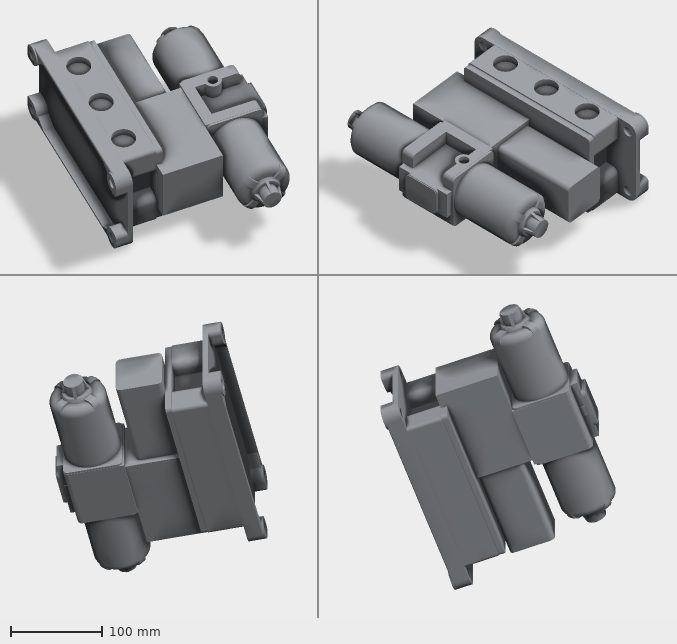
import cadquery as cq
import math


overall_length = 282.5

plate_length = 237.0
plate_height = 111.0
plate_back = 20.3
plate_web_front = 14.0
foot_radius = 12.5
foot_hole_diameter = 12.1
foot_corner_radius = 4.8
rim_front = 1.7
rim_width = 3.7
rim_chamfer = 0.8
rim_flare_end = 39.5

stack_left = 26.3
stack_length = 184.2
manifold_height = 110.5
manifold_inset = 0.3
manifold_back = 60.5
manifold_corner_radius = 3.7
port_diameter = 27.5
port_depth = 9.3
port_pitch = 60.0
port_y = 35.3
notch_depth = 17.0
notch_half_height = 19.5
notch_mouth_radius = 8.0
notch_floor_radius = 1.7

adapter_back = 67.8
adapter_height = 107.0
adapter_corner_radius = 4.2

block_left = 114.7
block_right = 226.8
block_front = 60.7
block_back = 132.8
block_height = 65.0
actuator_left = 10.7
actuator_back = 119.8
actuator_height = 51.5
actuator_corner_radius = 5.5

solenoid_x = 145.2
solenoid_y = 167.2
housing_length = 69.8
housing_height = 70.3
housing_back = 200.5
housing_corner_radius = 5.5
flange_thickness = 2.5
flange_step = 0.3
flange_front = 134.2

connector_back = 208.2
connector_height = 34.2
pocket_left = 122.5
pocket_right = 167.0
pocket_front = 146.0
pin_boss_x = 120.5
pin_boss_y = 168.5
pin_boss_radius = 10.0
pin_hole_diameter = 12.0
pin_hole_depth = 22.5
cover_corner_radius = 5.0
cover_groove_front = 210.7
cover_groove_back = 211.5
cover_groove_depth = 0.8
cover_back = 212.5
latch_back = 206.2
latch_length = 11.3
latch_drop = 1.7

coil_radius = 32.0
coil_face = 119.0
coil_rib_face = 121.8
coil_edge_radius = 8.5
coil_rib_width = 9.3
collar_base_radius = 18.0
collar_tip_radius = 15.3
pin_base = 123.2
pin_tip = overall_length - solenoid_x
pin_radius = 11.0
fin_base_radius = 15.3
fin_tip_radius = 11.3
fin_width = 3.5

OVERLAP = 1.5


def box(x_range, y_range, height):
    """Box between two X and two Y limits, centred on Z = 0."""
    length = x_range[1] - x_range[0]
    depth = y_range[1] - y_range[0]
    return cq.Workplane("XY").box(length, depth, height).translate((sum(x_range) / 2, sum(y_range) / 2, 0))


def cylinder_y(x, z, radius, y_range):
    """Cylinder along Y."""
    length = y_range[1] - y_range[0]
    return cq.Workplane("XZ", origin=(x, y_range[0], z)).circle(radius).extrude(-length)


def cylinder_z(x, y, radius, z_range):
    """Cylinder along Z."""
    length = z_range[1] - z_range[0]
    return cq.Workplane("XY", origin=(x, y, z_range[0])).circle(radius).extrude(length)


def mounting_foot():
    """Foot at the right top corner, centred on its hole: round, and squared off against the plate end."""
    diagonal = foot_radius * math.sqrt(0.5)
    return (
        cq.Workplane("XZ")
        .moveTo(0, foot_radius)
        .threePointArc((diagonal, diagonal), (foot_radius, 0))
        .lineTo(foot_radius, foot_corner_radius - foot_radius)
        .radiusArc((foot_radius - foot_corner_radius, -foot_radius), foot_corner_radius)
        .lineTo(0, -foot_radius)
        .threePointArc((-foot_radius, 0), (0, foot_radius))
        .close()
        .extrude(-plate_back)
    )


def mounting_plate():
    plate = box((0, plate_length), (rim_front, plate_back), plate_height)
    plate = plate.faces("<Y").edges("<Z or >Z").chamfer(rim_chamfer)

    half_length = plate_length / 2
    half_height = plate_height / 2
    foot_x = half_length - foot_radius
    foot_z = half_height - foot_radius
    rim_z = half_height - rim_width
    foot_end = 2 * foot_radius
    left = [(0, foot_z), (foot_end, foot_z), (rim_flare_end, rim_z)]
    upper = left + [(plate_length - x, z) for x, z in reversed(left)]
    lower = [(x, -z) for x, z in reversed(upper)]
    recess = cq.Workplane("XZ").polyline(upper + lower).close().extrude(-plate_web_front)
    plate = plate.cut(recess)

    depth = (0, plate_back)
    corner = box((0, foot_radius), depth, foot_radius).translate((0, 0, foot_radius / 2))
    hole = cylinder_y(0, 0, foot_hole_diameter / 2, depth)
    foot = mounting_foot()
    for mirror_planes in ((), ("YZ",), ("XY",), ("YZ", "XY")):
        parts = [part.translate((foot_x, 0, foot_z)) for part in (corner, foot, hole)]
        for mirror_plane in mirror_planes:
            parts = [part.mirror(mirror_plane) for part in parts]
        placed_corner, placed_foot, placed_hole = [part.translate((half_length, 0, 0)) for part in parts]
        plate = plate.cut(placed_corner).union(placed_foot).cut(placed_hole)
    return plate


def manifold():
    left = stack_left + manifold_inset
    right = stack_left + stack_length - manifold_inset
    y_range = (plate_back - OVERLAP, manifold_back)
    body = box((left, right), y_range, manifold_height).edges("|Y").fillet(manifold_corner_radius)
    for end in (left, right):
        notch_x = (end - notch_depth, end + notch_depth)
        notch = box(notch_x, (plate_back, manifold_back), 2 * notch_half_height)
        body = body.cut(notch.edges("|Y").fillet(notch_floor_radius))
    mouth = cq.selectors.BoxSelector(
        (left - OVERLAP, 0, -notch_half_height - OVERLAP),
        (right + OVERLAP, plate_back + manifold_back, notch_half_height + OVERLAP),
    )
    body = body.edges("|Y").edges("<X or >X").edges(mouth).fillet(notch_mouth_radius)
    middle_port = plate_length / 2
    for index in (-1, 0, 1):
        z_range = (manifold_height / 2 - port_depth, manifold_height / 2)
        body = body.cut(cylinder_z(middle_port + index * port_pitch, port_y, port_diameter / 2, z_range))
    return body


def adapter():
    x_range = (stack_left, stack_left + stack_length)
    plate = box(x_range, (manifold_back, adapter_back), adapter_height)
    return plate.edges("|Y").fillet(adapter_corner_radius)


def valve_block():
    block = box((block_left, block_right), (block_front, block_back), block_height)
    actuator = box((actuator_left, block_left + OVERLAP), (adapter_back, actuator_back), actuator_height)
    return block.union(actuator.edges("|X").fillet(actuator_corner_radius))


def solenoid_housing():
    half = housing_length / 2
    body_x = (solenoid_x - half, solenoid_x + half)
    body = box(body_x, (block_back, housing_back), housing_height)
    body = body.faces(">Y").edges("|X").fillet(housing_corner_radius)
    flange_x = (body_x[0] - flange_thickness, body_x[1] + flange_thickness)
    flange = box(flange_x, (flange_front, housing_back - flange_step), housing_height - 2 * flange_step)
    body = body.union(flange.edges("|X").fillet(housing_corner_radius))

    floor = connector_height / 2
    top = housing_height / 2
    pocket = box((pocket_left, pocket_right), (pocket_front, housing_back), top - floor)
    pocket = pocket.translate((0, 0, (top + floor) / 2))
    pocket = pocket.cut(cylinder_z(pin_boss_x, pin_boss_y, pin_boss_radius, (0, top)))
    body = body.cut(pocket)
    body = body.cut(cylinder_z(pin_boss_x, pin_boss_y, pin_hole_diameter / 2, (top - pin_hole_depth, top)))

    body = body.union(box(body_x, (housing_back - OVERLAP, connector_back), connector_height))
    latch_x = (solenoid_x - latch_length / 2, solenoid_x + latch_length / 2)
    latch = box(latch_x, (housing_back, latch_back), 2 * latch_drop)
    body = body.union(latch.translate((0, 0, -connector_height / 2)))
    cover_layers = (
        (connector_back, cover_groove_front, 0),
        (cover_groove_front, cover_groove_back, cover_groove_depth),
        (cover_groove_back, cover_back, 0),
    )
    for front, back, inset in cover_layers:
        layer_x = (pocket_left + inset, pocket_right - inset)
        layer = box(layer_x, (front, back), connector_height - 2 * inset)
        body = body.union(layer.edges("|Y").fillet(cover_corner_radius))
    return body


def coil_can(face):
    """Round can along +X from the solenoid centre, with a rounded outer edge."""
    can = cq.Workplane("YZ").circle(coil_radius).extrude(face)
    return can.faces(">X").edges().fillet(coil_edge_radius)


def coil():
    """Coil along +X from the solenoid centre: ribbed end cap, conical collar and finned pin."""
    cross = cq.Workplane("YZ").rect(coil_rib_width, 2 * coil_radius).extrude(coil_rib_face)
    cross = cross.union(cross.rotate((0, 0, 0), (1, 0, 0), 90)).rotate((0, 0, 0), (1, 0, 0), 45)
    collar_clearance = cq.Workplane("YZ").circle(collar_base_radius).extrude(coil_rib_face)
    ribs = coil_can(coil_rib_face).intersect(cross).cut(collar_clearance)
    body = coil_can(coil_face).union(ribs)

    collar_profile = [
        (0, 0), (0, collar_base_radius), (coil_face, collar_base_radius),
        (pin_base, collar_tip_radius), (pin_base, pin_radius), (pin_tip, pin_radius), (pin_tip, 0),
    ]
    collar = cq.Workplane("XY").polyline(collar_profile).close().revolve(360, (0, 0, 0), (1, 0, 0))
    body = body.union(collar)

    fin_profile = [
        (coil_face, -fin_base_radius), (pin_base, -fin_base_radius), (pin_tip, -fin_tip_radius),
        (pin_tip, fin_tip_radius), (pin_base, fin_base_radius), (coil_face, fin_base_radius),
    ]
    fin = cq.Workplane("XY").polyline(fin_profile).close().extrude(fin_width / 2, both=True)
    return body.union(fin).union(fin.rotate((0, 0, 0), (1, 0, 0), 90))


outer_coil = coil().cut(cq.Workplane("YZ").circle(2 * coil_radius).extrude(housing_length / 2))

result = mounting_plate().union(manifold()).union(adapter()).union(valve_block()).union(solenoid_housing())
for turn in (0, 180):
    placed_coil = outer_coil.rotate((0, 0, 0), (0, 0, 1), turn).translate((solenoid_x, solenoid_y, 0))
    result = result.union(placed_coil)